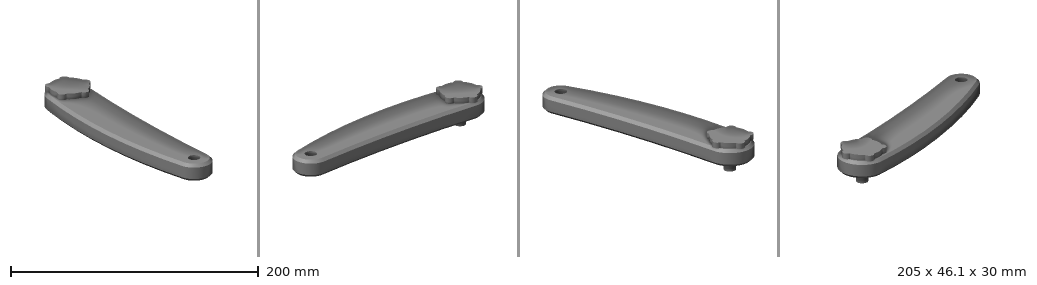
import cadquery as cq
import math

PIN_END_RADIUS = 20.0
HOLE_END_RADIUS = 15.0
END_SPACING = 205 - PIN_END_RADIUS - HOLE_END_RADIUS
LOWER_ARC_RADIUS = 451.0
UPPER_ARC_RADIUS = 1199.2
ARM_THICKNESS = 15.0
EDGE_CHAMFER = 2.5

PIN_DIAMETER = 10.0
PIN_LENGTH = 10.0
HOLE_DIAMETER = PIN_DIAMETER
HOLE_DEPTH = PIN_LENGTH

KNOB_HEIGHT = 5.0
KNOB_DISC_RADIUS = 16.6
LOBE_COUNT = 5
LOBE_RADIUS = 4.0
LOBE_CENTER_RADIUS = 15.5
LOBE_START_ANGLE = 14.0
FULL_TURN = 360


def arc_center(pin_end_distance, hole_end_distance):
    """Point above the arm at the given distances from the two end centers."""
    x = (pin_end_distance**2 - hole_end_distance**2 + END_SPACING**2) / (2 * END_SPACING)
    return x, math.sqrt(pin_end_distance**2 - x**2)


def toward(start, target, distance):
    """Point at a distance from start, on the line toward target (away if negative)."""
    dx = target[0] - start[0]
    dy = target[1] - start[1]
    ratio = distance / math.hypot(dx, dy)
    return start[0] + dx * ratio, start[1] + dy * ratio


def make_arm():
    pin_end = (0, 0)
    hole_end = (END_SPACING, 0)
    lower_center = arc_center(LOWER_ARC_RADIUS - PIN_END_RADIUS, LOWER_ARC_RADIUS - HOLE_END_RADIUS)
    upper_center = arc_center(UPPER_ARC_RADIUS + PIN_END_RADIUS, UPPER_ARC_RADIUS + HOLE_END_RADIUS)
    lower_mid = (lower_center[0], lower_center[1] - LOWER_ARC_RADIUS)
    upper_mid = (upper_center[0], upper_center[1] - UPPER_ARC_RADIUS)
    return (
        cq.Workplane("XY")
        .moveTo(*toward(pin_end, lower_center, -PIN_END_RADIUS))
        .threePointArc(lower_mid, toward(hole_end, lower_center, -HOLE_END_RADIUS))
        .threePointArc((END_SPACING + HOLE_END_RADIUS, 0), toward(hole_end, upper_center, HOLE_END_RADIUS))
        .threePointArc(upper_mid, toward(pin_end, upper_center, PIN_END_RADIUS))
        .threePointArc((-PIN_END_RADIUS, 0), toward(pin_end, lower_center, -PIN_END_RADIUS))
        .close()
        .extrude(ARM_THICKNESS)
        .faces("<Z or >Z")
        .chamfer(EDGE_CHAMFER)
    )


def make_knob():
    base = cq.Workplane("XY").workplane(offset=ARM_THICKNESS)
    lobes = (
        base.polarArray(LOBE_CENTER_RADIUS, LOBE_START_ANGLE, FULL_TURN, LOBE_COUNT)
        .circle(LOBE_RADIUS)
        .extrude(KNOB_HEIGHT)
    )
    return base.circle(KNOB_DISC_RADIUS).extrude(KNOB_HEIGHT).union(lobes)


pin = cq.Workplane("XY").circle(PIN_DIAMETER / 2).extrude(-PIN_LENGTH)
hole = (
    cq.Workplane("XY")
    .workplane(offset=ARM_THICKNESS)
    .center(END_SPACING, 0)
    .circle(HOLE_DIAMETER / 2)
    .extrude(-HOLE_DEPTH)
)

result = make_arm().cut(hole).union(make_knob()).union(pin)